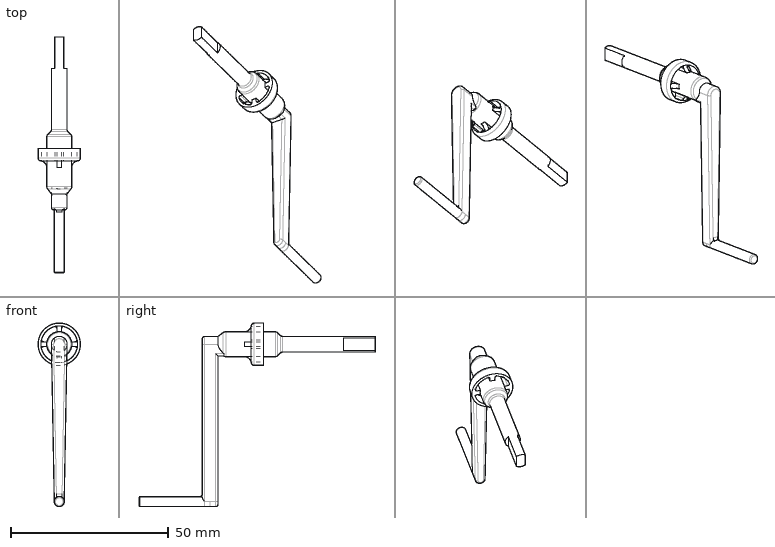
import cadquery as cq
import math

overall_length = 75.0
overall_height = 58.35
pick_margin = 0.1

shaft_radius = 5.0 / 2
flat_length = 10.05
flat_thickness = 3.0
hub_radius = 8.0 / 2
rear_cone_end = 45.15
rear_cone_start = rear_cone_end - (hub_radius - shaft_radius)
rear_cone_round = 1.0
front_cone_length = 1.95
front_cone_round = 1.5

ring_radius = 6.75
ring_wall = 1.0
ring_inner_radius = ring_radius - ring_wall
ring_front = 35.55
ring_back = 39.5
spoke_count = 4
spoke_width = 1.6
spoke_sweep_radius = 2.0
spoke_overlap = 0.4
spoke_embed = 0.1
spoke_root_round = 0.6

arm_front = 20.0
arm_thickness = 5.0
arm_back = arm_front + arm_thickness
arm_edge_round = 0.75
heel_depth = 3.75
heel_length = 1.95

handle_radius = 3.2 / 2
handle_tip_round = 0.4
gusset_width = 1.65
gusset_radius = 0.75
arm_length = overall_height - ring_radius - handle_radius

front_cone_start = arm_back
front_cone_end = front_cone_start + front_cone_length


def along_y(radius, start, end):
    """Cylinder on the Y axis between two Y positions."""
    return cq.Workplane("XZ", origin=(0, start, 0)).circle(radius).extrude(start - end)


def edges_within(y_min, y_max, z_min, z_max):
    """Selector for edges whose bounding box lies in a Y and Z range, across the full width."""
    return cq.selectors.BoxSelector(
        (-ring_radius, y_min - pick_margin, z_min - pick_margin),
        (ring_radius, y_max + pick_margin, z_max + pick_margin),
        True,
    )


def make_shaft():
    """Turned shaft with a thicker coned hub and two flats at the rear end."""
    profile = [
        (0, arm_front + arm_thickness / 2),
        (shaft_radius, arm_front + arm_thickness / 2),
        (shaft_radius, front_cone_start),
        (hub_radius, front_cone_end),
        (hub_radius, rear_cone_start),
        (shaft_radius, rear_cone_end),
        (shaft_radius, overall_length),
        (0, overall_length),
    ]
    shaft = cq.Workplane("XY").polyline(profile).close().revolve(360, (0, 0, 0), (0, 1, 0))

    def circles_at(y):
        return edges_within(y, y, -ring_radius, ring_radius) - cq.selectors.TypeSelector("LINE")

    for y in (rear_cone_start, rear_cone_end):
        shaft = shaft.edges(circles_at(y)).fillet(rear_cone_round)
    shaft = shaft.edges(circles_at(front_cone_end)).fillet(front_cone_round)

    flat_middle = overall_length - flat_length / 2
    flat_envelope = cq.Workplane("XY", origin=(0, flat_middle, 0)).box(
        flat_thickness, flat_length, 2 * shaft_radius
    )
    flat_blank = along_y(shaft_radius, overall_length - flat_length, overall_length)
    return shaft.cut(flat_blank.cut(flat_envelope))


def make_ring():
    """Guard ring whose outer front edge is rounded across the full wall."""
    bend = ring_wall * math.sqrt(0.5)
    return (
        cq.Workplane("XY")
        .moveTo(ring_inner_radius, ring_back)
        .lineTo(ring_radius, ring_back)
        .lineTo(ring_radius, ring_front + ring_wall)
        .threePointArc(
            (ring_inner_radius + bend, ring_front + ring_wall - bend),
            (ring_inner_radius, ring_front),
        )
        .close()
        .revolve(360, (0, 0, 0), (0, 1, 0))
    )


def make_spoke():
    """Upright spoke with a concave front that runs out along the hub."""
    sweep_start = ring_front - spoke_sweep_radius
    bend = spoke_sweep_radius * math.sqrt(0.5)
    top = hub_radius + spoke_sweep_radius
    blade = (
        cq.Workplane("YZ")
        .moveTo(ring_back, hub_radius - spoke_overlap)
        .lineTo(sweep_start, hub_radius - spoke_overlap)
        .lineTo(sweep_start, hub_radius)
        .threePointArc((sweep_start + bend, top - bend), (ring_front, top))
        .lineTo(ring_back, top)
        .close()
        .extrude(spoke_width / 2, both=True)
    )
    half = spoke_width / 2
    flare_half = half + spoke_root_round
    root_z = math.sqrt(ring_inner_radius**2 - flare_half**2)
    flare_base = root_z - spoke_root_round
    bend = spoke_root_round * math.sqrt(0.5)
    flare = (
        cq.Workplane("XZ", origin=(0, ring_front, 0))
        .moveTo(-half, flare_base)
        .threePointArc((bend - flare_half, flare_base + bend), (-flare_half, root_z))
        .lineTo(-half, root_z + spoke_overlap)
        .lineTo(half, root_z + spoke_overlap)
        .lineTo(flare_half, root_z)
        .threePointArc((flare_half - bend, flare_base + bend), (half, flare_base))
        .close()
        .extrude(ring_front - ring_back)
    )
    return blade.union(flare).intersect(along_y(ring_inner_radius + spoke_embed, 0, ring_back))


def make_arm():
    """Tapered arm with round ends, straight sides tangent to both, and a heel under the hub."""
    lean = (shaft_radius - handle_radius) / arm_length
    side = math.sqrt(1 - lean**2)
    shaft_x, shaft_z = shaft_radius * side, -shaft_radius * lean
    handle_x, handle_z = handle_radius * side, -arm_length - handle_radius * lean
    depth = arm_thickness + heel_length
    arm = (
        cq.Workplane("XZ", origin=(0, arm_front, 0))
        .moveTo(-shaft_x, shaft_z)
        .threePointArc((0, shaft_radius), (shaft_x, shaft_z))
        .lineTo(handle_x, handle_z)
        .threePointArc((0, -arm_length - handle_radius), (-handle_x, handle_z))
        .close()
        .extrude(-depth)
    )
    clearance = (
        cq.Workplane("XY", origin=(0, arm_back, -heel_depth))
        .box(2 * ring_radius, 2 * heel_length, 2 * arm_length, centered=(True, False, False))
        .translate((0, 0, -2 * arm_length))
    )
    arm = arm.cut(clearance)

    rear_edges = edges_within(arm_back, arm_back + heel_length, -overall_height, -heel_depth)
    inner_corner = edges_within(arm_back, arm_back, -heel_depth, -heel_depth)
    heel_end_y = arm_back + heel_length
    heel_end = edges_within(heel_end_y, heel_end_y, -heel_depth, -heel_depth)
    arm = arm.edges(rear_edges - inner_corner - heel_end).fillet(arm_edge_round)
    return arm.faces("<Y").edges().fillet(arm_edge_round)


def make_handle():
    """Round handle with a small concave gusset against the arm."""
    handle = along_y(handle_radius, 0, arm_back - arm_thickness / 2)
    handle = handle.faces("<Y").edges().fillet(handle_tip_round)
    bend = gusset_radius * (1 - math.sqrt(0.5))
    gusset = (
        cq.Workplane("YZ")
        .moveTo(arm_front - gusset_radius, handle_radius)
        .threePointArc(
            (arm_front - bend, handle_radius + bend),
            (arm_front, handle_radius + gusset_radius),
        )
        .lineTo(arm_front + gusset_radius, handle_radius + gusset_radius)
        .lineTo(arm_front + gusset_radius, 0)
        .lineTo(arm_front - gusset_radius, 0)
        .close()
        .extrude(gusset_width / 2, both=True)
    )
    return handle.union(gusset).translate((0, 0, -arm_length))


result = make_shaft().union(make_ring())
spoke = make_spoke()
for index in range(spoke_count):
    result = result.union(spoke.rotate((0, 0, 0), (0, 1, 0), index * 360 / spoke_count))
result = result.union(make_arm()).union(make_handle()).solids().val()